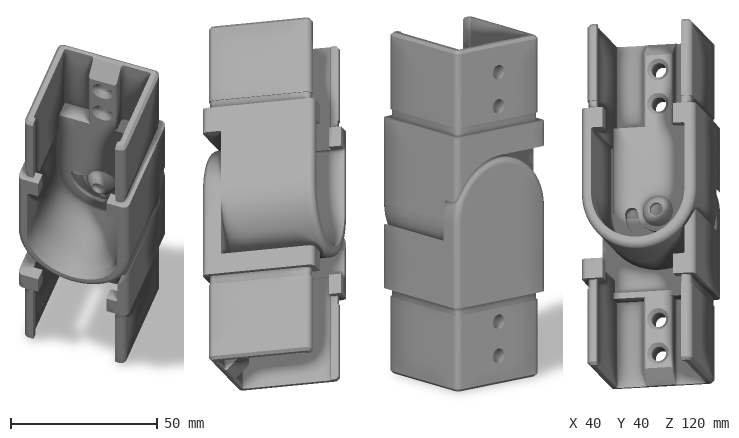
import cadquery as cq
import math

LENGTH = 120.0
OUTER = 40.0
HALF = OUTER / 2
OUTER_ROUND = 2.0
BODY_END = 30.0
TIP = LENGTH / 2

PLATE_FRONT = 10.5
JOINT = 13.1
CAVITY_HALF = 16.38
CAVITY_FILLET = 1.0
CLEARANCE_RADIUS = 21.2
COLLAR_START = 23.0
COLLAR_FILLET = 0.7
LIP_INNER = 12.4
LIP_BACK = -15.6
RECESS_END = 28.0

INSERT_HALF = 18.4
CHANNEL_HALF = 15.66
CHANNEL_BACK = 16.14
CHANNEL_ROUND = 0.7
INSERT_GAP = 14.9
INSERT_CHAMFER = 1.0
NECK_HALF = 18.0
NECK_END = 33.0
INSERT_WALL_MIDDLE = (CHANNEL_BACK + INSERT_HALF) / 2

RAIL_HALF = 5.0
RAIL_EDGE = 1.0
RAIL_FOOT = 1.0
RAMP_TOP_BACK = 15.7
RAMP_LENGTH = 4.9
HOLE_DIAMETER = 5.0
COUNTERSINK_DIAMETER = 7.5
HOLE_PLACES = (37.9, 49.9)

PIN_DIAMETER = 3.5
PIN_RADIUS = PIN_DIAMETER / 2
SLOT_WIDTH = 4.5
SLOT_PATH_RADIUS = 9.2
SLOT_FLOOR = 11.8

HEAD_DIAMETER = 10.5
HEAD_HEIGHT = 3.4
HEAD_TOP_DIAMETER = 5.3
HEAD_MID_RADIUS = 4.3
HEAD_MID_HEIGHT = 1.9
SHANK_DIAMETER = 6.0
SHANK_END = 18.0
SOCKET_DIAMETER = 4.3
SOCKET_MOUTH = 5.0
SOCKET_DEPTH = 1.8
SOCKET_CONE_SLOPE = 0.5


def box(x0, x1, y0, y1, z0, z1):
    return cq.Workplane("XY").box(x1 - x0, y1 - y0, z1 - z0, centered=False).translate((x0, y0, z0))


def disc(radius, y0, y1, x=0, z=0):
    """Cylinder along Y between y0 and y1."""
    return cq.Workplane("XZ", origin=(x, y0, z)).circle(radius).extrude(y0 - y1)


def square_tube_blank(half, rounding, z0, z1):
    """Square prism about the Z axis with rounded long edges."""
    return box(-half, half, -half, half, z0, z1).edges("|Z").fillet(rounding)


def make_insert():
    """Upper tube insert: neck and open-fronted channel with a chamfered tip."""
    neck_round = OUTER_ROUND - (INSERT_HALF - NECK_HALF)
    neck = square_tube_blank(NECK_HALF, neck_round, BODY_END, NECK_END)
    sleeve = square_tube_blank(INSERT_HALF, OUTER_ROUND, NECK_END, TIP)
    sleeve = sleeve.faces(">Z").chamfer(INSERT_CHAMFER)
    channel = box(-CHANNEL_HALF, CHANNEL_HALF, LIP_BACK, CHANNEL_BACK, BODY_END, TIP)
    channel = channel.edges("|Z").fillet(CHANNEL_ROUND)
    front_gap = box(-INSERT_GAP, INSERT_GAP, -HALF, 0, BODY_END, TIP)
    return neck.union(sleeve).cut(channel).cut(front_gap)


def make_rail():
    """Upper screw rail: rounded edges, filleted feet and a sloping end."""
    flat_half = RAIL_HALF - RAIL_EDGE
    foot_half = RAIL_HALF + RAIL_FOOT
    edge_mid = RAIL_EDGE * (1 - math.sqrt(0.5))
    foot_mid = RAIL_FOOT * (1 - math.sqrt(0.5))
    edge_back = PLATE_FRONT + RAIL_EDGE
    foot_front = CHANNEL_BACK - RAIL_FOOT
    profile = (
        cq.Workplane("XY", origin=(0, 0, BODY_END))
        .moveTo(-flat_half, PLATE_FRONT)
        .lineTo(flat_half, PLATE_FRONT)
        .threePointArc((RAIL_HALF - edge_mid, PLATE_FRONT + edge_mid), (RAIL_HALF, edge_back))
        .lineTo(RAIL_HALF, foot_front)
        .threePointArc((RAIL_HALF + foot_mid, CHANNEL_BACK - foot_mid), (foot_half, CHANNEL_BACK))
        .lineTo(foot_half, INSERT_WALL_MIDDLE)
        .lineTo(-foot_half, INSERT_WALL_MIDDLE)
        .lineTo(-foot_half, CHANNEL_BACK)
        .threePointArc((-RAIL_HALF - foot_mid, CHANNEL_BACK - foot_mid), (-RAIL_HALF, foot_front))
        .lineTo(-RAIL_HALF, edge_back)
        .threePointArc((-RAIL_HALF + edge_mid, PLATE_FRONT + edge_mid), (-flat_half, PLATE_FRONT))
        .close()
    )
    ramp = (
        cq.Workplane("YZ", origin=(-HALF, 0, 0))
        .polyline([(PLATE_FRONT, TIP - RAMP_LENGTH), (RAMP_TOP_BACK, TIP), (PLATE_FRONT, TIP)])
        .close()
        .extrude(OUTER)
    )
    return profile.extrude(TIP - BODY_END).cut(ramp)


def make_screw_holes():
    """Countersunk holes through the upper rail."""
    sink_depth = (COUNTERSINK_DIAMETER - HOLE_DIAMETER) / 2
    into_rail = cq.Vector(0, 1, 0)
    holes = cq.Workplane("XY")
    for z in HOLE_PLACES:
        mouth = cq.Vector(0, PLATE_FRONT, z)
        cone = cq.Solid.makeCone(
            COUNTERSINK_DIAMETER / 2, HOLE_DIAMETER / 2, sink_depth, mouth, into_rail
        )
        bore = disc(HOLE_DIAMETER / 2, PLATE_FRONT, HALF, z=z)
        holes = holes.add(bore.union(cq.Workplane(cone)).val())
    return holes.combine()


def add_insert(block):
    return block.union(make_insert()).union(make_rail()).cut(make_screw_holes())


def make_collar_opening():
    """Opening of the upper collar between its side walls and between its front lips."""
    walls = box(-CHANNEL_HALF, CHANNEL_HALF, LIP_BACK, PLATE_FRONT, 0, BODY_END)
    lips = box(-LIP_INNER, LIP_INNER, -HALF, LIP_BACK, 0, BODY_END)
    return walls.union(lips)


def make_slot():
    """Curved stop slot: open at both ends, with a thin floor between the pin's end positions."""
    path_end = (SLOT_WIDTH - PIN_DIAMETER) / 2
    outer = SLOT_PATH_RADIUS + SLOT_WIDTH / 2
    inner = SLOT_PATH_RADIUS - SLOT_WIDTH / 2
    ring = disc(outer, PLATE_FRONT, JOINT).cut(disc(inner, PLATE_FRONT, JOINT))
    slot = ring.intersect(box(-HALF, -path_end, PLATE_FRONT, JOINT, -HALF, -path_end))
    for x, z in ((-path_end, -SLOT_PATH_RADIUS), (-SLOT_PATH_RADIUS, -path_end)):
        slot = slot.union(disc(SLOT_WIDTH / 2, PLATE_FRONT, JOINT, x, z))
    floor = box(-HALF, -PIN_RADIUS, SLOT_FLOOR, JOINT, -HALF, -PIN_RADIUS)
    return slot.cut(floor)


def make_round_block(y0, y1, end):
    """Block from the hinge axis up to z = end, with a round underside about the axis."""
    return box(-HALF, HALF, y0, y1, 0, end).union(disc(HALF, y0, y1))


def make_wide_cavity(bottom):
    """Cavity of the block below the collar, with rounded corners at the collar."""
    cavity = box(-CAVITY_HALF, CAVITY_HALF, -HALF, JOINT, bottom, COLLAR_START)
    return cavity.edges("|Y and >Z").fillet(COLLAR_FILLET)


def make_upper_cavity():
    """Upper cavity: round bottom and filleted floor."""
    cavity = box(-CAVITY_HALF, CAVITY_HALF, -HALF, PLATE_FRONT, 0, COLLAR_START)
    cavity = cavity.union(disc(CAVITY_HALF, -HALF, PLATE_FRONT))
    cavity = cavity.edges(">Y").edges("not >Z").fillet(CAVITY_FILLET)
    return cavity.edges("|Y and >Z").fillet(COLLAR_FILLET)


def make_upper_hinge():
    """Upper half: round front body, stepped back, cavity, stop slot and tube insert."""
    front = make_round_block(-HALF, JOINT, BODY_END)
    front = front.faces("<Y").edges("not >Z").fillet(OUTER_ROUND)
    back = box(-HALF, HALF, JOINT, HALF, 0, BODY_END).edges("|Z and >Y").fillet(OUTER_ROUND)
    back = back.cut(disc(CLEARANCE_RADIUS, JOINT, HALF))
    back = back.cut(box(-HALF, 0, JOINT, HALF, 0, CLEARANCE_RADIUS))
    block = front.union(back).cut(make_upper_cavity()).cut(make_collar_opening())
    block = block.cut(make_slot()).cut(disc(SHANK_DIAMETER / 2, PLATE_FRONT, JOINT))
    return add_insert(block)


def make_stop_pin():
    """Stop pin with a domed tip, standing on the lower plate."""
    tip_centre = PLATE_FRONT + PIN_RADIUS
    dome = cq.Workplane("XY").sphere(PIN_RADIUS).translate((0, tip_centre, -SLOT_PATH_RADIUS))
    return disc(PIN_RADIUS, tip_centre, JOINT, z=-SLOT_PATH_RADIUS).union(dome)


def make_lower_hinge():
    """Lower half, shaped with its insert upward and then mirrored down, plus the stop pin."""
    back = make_round_block(JOINT, HALF, BODY_END)
    back = back.faces(">Y").edges("not >Z").fillet(OUTER_ROUND)
    front = box(-HALF, HALF, -HALF, JOINT, 0, BODY_END).edges("|Z and <Y").fillet(OUTER_ROUND)
    front = front.cut(disc(CLEARANCE_RADIUS, -HALF, JOINT)).cut(make_wide_cavity(0))
    front = front.cut(box(-HALF, 0, -HALF, JOINT, 0, COLLAR_START))
    front = front.cut(box(-CHANNEL_HALF, CHANNEL_HALF, PLATE_FRONT, JOINT, 0, RECESS_END))
    front = front.cut(make_collar_opening())
    block = add_insert(back.union(front)).cut(disc(SHANK_DIAMETER / 2, JOINT, SHANK_END))
    return block.mirror("XY").union(make_stop_pin())


def make_hinge_screw():
    """Button-head hinge screw with a round, cone-bottomed socket."""
    head_radius = HEAD_DIAMETER / 2
    top_radius = HEAD_TOP_DIAMETER / 2
    head_top = PLATE_FRONT - HEAD_HEIGHT
    shank_radius = SHANK_DIAMETER / 2
    socket_radius = SOCKET_DIAMETER / 2
    socket_floor = head_top + SOCKET_DEPTH
    return (
        cq.Workplane("XY")
        .moveTo(0, socket_floor + socket_radius * SOCKET_CONE_SLOPE)
        .lineTo(socket_radius, socket_floor)
        .lineTo(socket_radius, head_top + (SOCKET_MOUTH - SOCKET_DIAMETER) / 2)
        .lineTo(SOCKET_MOUTH / 2, head_top)
        .lineTo(top_radius, head_top)
        .threePointArc((HEAD_MID_RADIUS, PLATE_FRONT - HEAD_MID_HEIGHT), (head_radius, PLATE_FRONT))
        .lineTo(shank_radius, PLATE_FRONT)
        .lineTo(shank_radius, SHANK_END)
        .lineTo(0, SHANK_END)
        .close()
        .revolve(360, (0, 0, 0), (0, 1, 0))
    )


upper_hinge = make_upper_hinge()
lower_hinge = make_lower_hinge()
hinge_screw = make_hinge_screw()

result = cq.Compound.makeCompound([upper_hinge.val(), lower_hinge.val(), hinge_screw.val()])